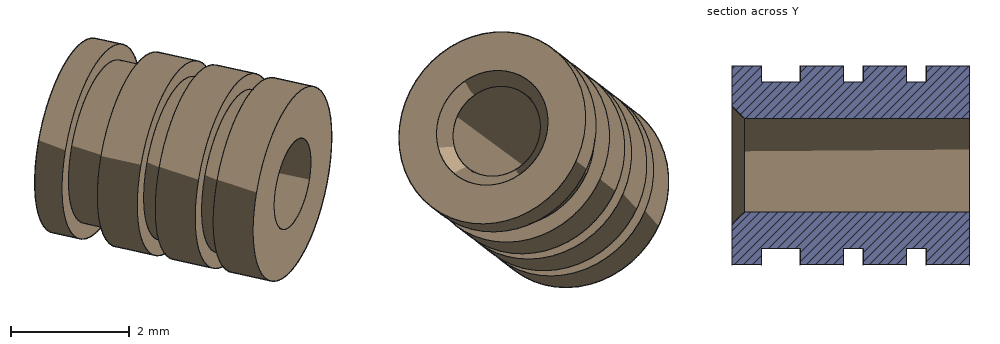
import cadquery as cq

length = 4.0
outer_diameter = 3.35
groove_diameter = 2.81
bore_diameter = 1.57
countersink_diameter = 2.0

collar_width = 0.505
band_width = 0.73
narrow_groove_width = 0.33
band_count = 3
narrow_groove_count = band_count - 1
banded_length = band_count * band_width + narrow_groove_count * narrow_groove_width
wide_groove_width = length - collar_width - banded_length

countersink_depth = (countersink_diameter - bore_diameter) / 2


def cylinder(start, width, diameter):
    """Solid cylinder along +X from the given axial position."""
    return cq.Workplane("YZ", origin=(start, 0, 0)).circle(diameter / 2).extrude(width)


def ring_groove(start, width):
    """Ring of material to remove from the outside of the sleeve."""
    return cylinder(start, width, outer_diameter).cut(cylinder(start, width, groove_diameter))


sleeve = cylinder(0, length, outer_diameter).cut(cylinder(0, length, bore_diameter))

countersink = (
    cq.Workplane("XY")
    .polyline([(0, 0), (0, countersink_diameter / 2), (countersink_depth, bore_diameter / 2),
               (countersink_depth, 0)])
    .close()
    .revolve(360, (0, 0, 0), (1, 0, 0))
)
sleeve = sleeve.cut(countersink)

sleeve = sleeve.cut(ring_groove(collar_width, wide_groove_width))

first_band_start = collar_width + wide_groove_width
band_pitch = band_width + narrow_groove_width
for index in range(narrow_groove_count):
    groove_start = first_band_start + band_width + index * band_pitch
    sleeve = sleeve.cut(ring_groove(groove_start, narrow_groove_width))

result = sleeve